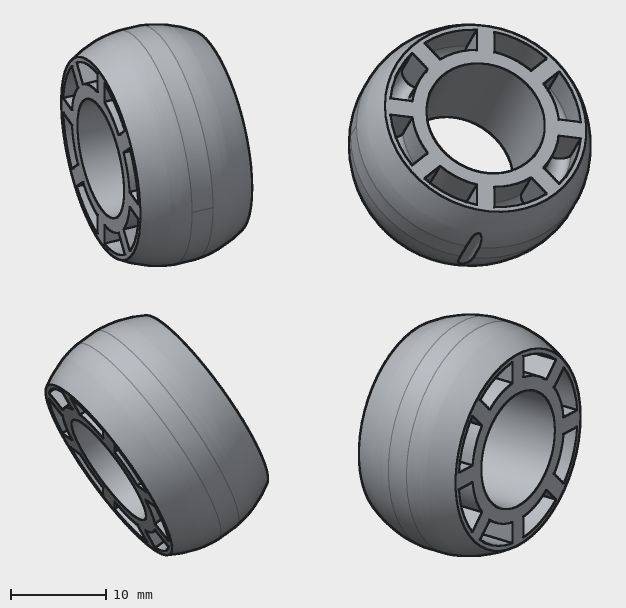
import cadquery as cq
import math

outer_radius = 12.65
width = 12.7
face_radius = 10.95
band_width = 2.38
bore_diameter = 12.87

pocket_inner_radius = 8.01
pocket_outer_radius = 10.4
pocket_depth = 5.05
spoke_count = 8
spoke_width = 1.92

notch_radius = 0.75
notch_depth = 0.45

half_width = width / 2
half_band = band_width / 2
bore_radius = bore_diameter / 2


def make_body():
    """Bored ring with a cylindrical band between two crowned shoulders."""
    crown_radius = math.hypot(outer_radius, half_band)
    crown_y = (half_width + half_band) / 2
    crown_x = math.sqrt(crown_radius**2 - crown_y**2)
    return (
        cq.Workplane("XY")
        .moveTo(bore_radius, -half_width)
        .lineTo(face_radius, -half_width)
        .threePointArc((crown_x, -crown_y), (outer_radius, -half_band))
        .lineTo(outer_radius, half_band)
        .threePointArc((crown_x, crown_y), (face_radius, half_width))
        .lineTo(bore_radius, half_width)
        .close()
        .revolve(360, (0, 0, 0), (0, 1, 0))
    )


def make_front_pockets():
    """Annular channel with a half-round floor, divided by radial spokes."""
    floor_radius = (pocket_outer_radius - pocket_inner_radius) / 2
    middle_radius = (pocket_outer_radius + pocket_inner_radius) / 2
    floor_y = -half_width + pocket_depth
    wall_end_y = floor_y - floor_radius
    channel = (
        cq.Workplane("XY")
        .moveTo(pocket_inner_radius, -half_width)
        .lineTo(pocket_outer_radius, -half_width)
        .lineTo(pocket_outer_radius, wall_end_y)
        .threePointArc((middle_radius, floor_y), (pocket_inner_radius, wall_end_y))
        .close()
        .revolve(360, (0, 0, 0), (0, 1, 0))
    )
    bar = cq.Workplane("XY").box(2 * outer_radius, width, spoke_width)
    for index in range(spoke_count // 2):
        angle = index * 360 / spoke_count
        channel = channel.cut(bar.rotate((0, 0, 0), (0, 1, 0), angle))
    return channel


def make_notch():
    """Round groove running along Y at the lowest point of the rim."""
    notch_z = -outer_radius + notch_depth - notch_radius
    return (
        cq.Workplane("XZ")
        .center(0, notch_z)
        .circle(notch_radius)
        .extrude(half_width, both=True)
    )


front_pockets = make_front_pockets()
back_pockets = front_pockets.mirror("XZ")
result = make_body().cut(front_pockets).cut(back_pockets).cut(make_notch())